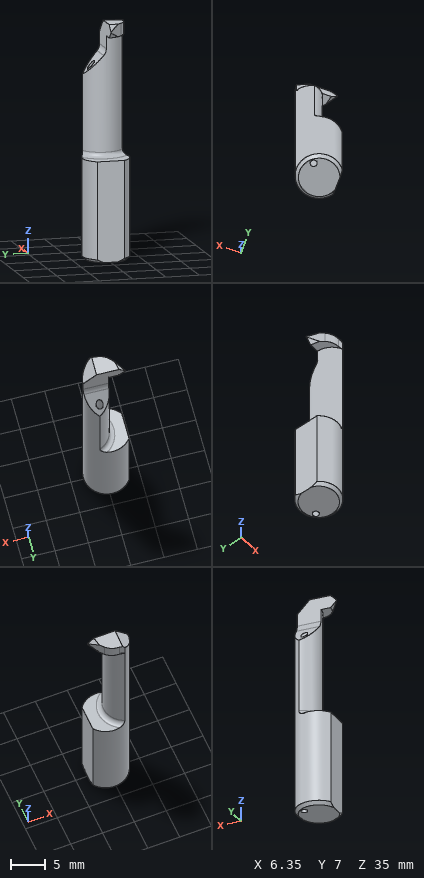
import math

import cadquery as cq

shank_radius = 3.5
shank_length = 15.0
flat_x = -2.85
foot_chamfer = 0.5

tool_length = 35.0
neck_center_x = 2.9
neck_radius = 3.2
neck_fillet = 0.8

head_height = 2.0
tip_flat_width = 0.12
tip_reach = 0.98
relief_angle = 2.0
tip_relief_angle = 14.0
head_bottom_z = tool_length - head_height
tip_z = tool_length - head_height / 2

flank_end = (-1.02, -2.04)
heel_middle = (-0.14, -2.64)
heel_end = (0.97, -2.87)
neck_corner_x = (shank_radius**2 - neck_radius**2 + neck_center_x**2) / (2 * neck_center_x)
neck_corner_y = -math.sqrt(shank_radius**2 - neck_corner_x**2)

slope_angle = 48.5
slope_foot_y = 3.0
slope_foot_z = 27.15
clearance_bend_radius = 1.5

hole_x = 1.5
hole_y = 1.79
hole_diameter = 1.0

reach = 2 * shank_radius


def shank_round(length):
    return cq.Workplane("XY").circle(shank_radius).extrude(length)


def make_shank():
    shank = shank_round(shank_length).faces("<Z").chamfer(foot_chamfer)
    keep = cq.Workplane("XY").box(2 * reach, 2 * reach, shank_length, centered=(False, True, False))
    return shank.intersect(keep.translate((flat_x, 0, 0)))


def make_neck():
    """Off-axis round with a flared foot, trimmed to the shank round."""
    fillet_middle = neck_fillet * (1 - math.sqrt(0.5))
    stem = (
        cq.Workplane("XZ")
        .moveTo(0, shank_length)
        .lineTo(neck_radius + neck_fillet, shank_length)
        .threePointArc(
            (neck_radius + fillet_middle, shank_length + fillet_middle),
            (neck_radius, shank_length + neck_fillet),
        )
        .lineTo(neck_radius, tool_length)
        .lineTo(0, tool_length)
        .close()
        .revolve(360, (0, 0, 0), (0, 1, 0))
        .translate((neck_center_x, 0, 0))
    )
    return stem.intersect(shank_round(tool_length))


def loft_along_y(profile, front_depth, back_depth):
    """Loft between an XZ profile at two depths, where depth runs toward -Y."""
    return (
        cq.Workplane("XZ", origin=(0, -front_depth, 0))
        .polyline(profile(front_depth))
        .close()
        .workplane(offset=back_depth - front_depth)
        .polyline(profile(back_depth))
        .close()
        .loft(ruled=True)
    )


def tip_profile(depth):
    """Pointed head section; its faces draw in with depth to give cutting relief."""
    drop = depth * math.tan(math.radians(relief_angle))
    setback = depth * math.tan(math.radians(tip_relief_angle))
    tip_x = flat_x + setback
    half_flat = tip_flat_width / 2
    half_height = head_height / 2 - drop
    shoulder_x = tip_x + tip_reach * (half_height - half_flat) / (head_height / 2 - half_flat)
    return [
        (tip_x, tip_z - half_flat),
        (shoulder_x, tip_z - half_height),
        (reach, tip_z - half_height),
        (reach, tip_z + half_height),
        (shoulder_x, tip_z + half_height),
        (tip_x, tip_z + half_flat),
    ]


def top_profile(depth):
    """Envelope of the tool end: relieved top and a 45 degree back corner."""
    slope = math.tan(math.radians(relief_angle))
    top_z = tool_length - depth * slope
    chamfer_sum = shank_radius + head_bottom_z - depth * slope * math.sqrt(2)
    return [
        (-reach, 0),
        (reach, 0),
        (reach, chamfer_sum - reach),
        (chamfer_sum - top_z, top_z),
        (-reach, top_z),
    ]


def make_head():
    outline = (
        cq.Workplane("XY", origin=(0, 0, head_bottom_z))
        .moveTo(flat_x, 0)
        .lineTo(*flank_end)
        .threePointArc(heel_middle, heel_end)
        .lineTo(neck_corner_x, neck_corner_y)
        .lineTo(neck_corner_x, 0)
        .close()
        .extrude(head_height)
    )
    return outline.intersect(loft_along_y(tip_profile, 0, shank_radius))


def make_chip_clearance():
    angle = math.radians(slope_angle)
    corner_z = slope_foot_z + slope_foot_y * math.tan(angle)
    bottom_z = corner_z - reach * math.tan(angle)
    cutter = (
        cq.Workplane("YZ", origin=(-reach, 0, 0))
        .moveTo(0, corner_z)
        .lineTo(0, tool_length + reach)
        .lineTo(reach, tool_length + reach)
        .lineTo(reach, bottom_z)
        .close()
        .extrude(2 * reach)
    )
    bend = cq.selectors.NearestToPointSelector((0, 0, corner_z))
    return cutter.edges(bend).fillet(clearance_bend_radius)


def make_coolant_hole():
    return cq.Workplane("XY").center(hole_x, hole_y).circle(hole_diameter / 2).extrude(tool_length)


tool_end = make_neck().cut(make_chip_clearance()).union(make_head())
tool_end = tool_end.intersect(loft_along_y(top_profile, -reach, reach))
result = make_shank().union(tool_end).cut(make_coolant_hole())